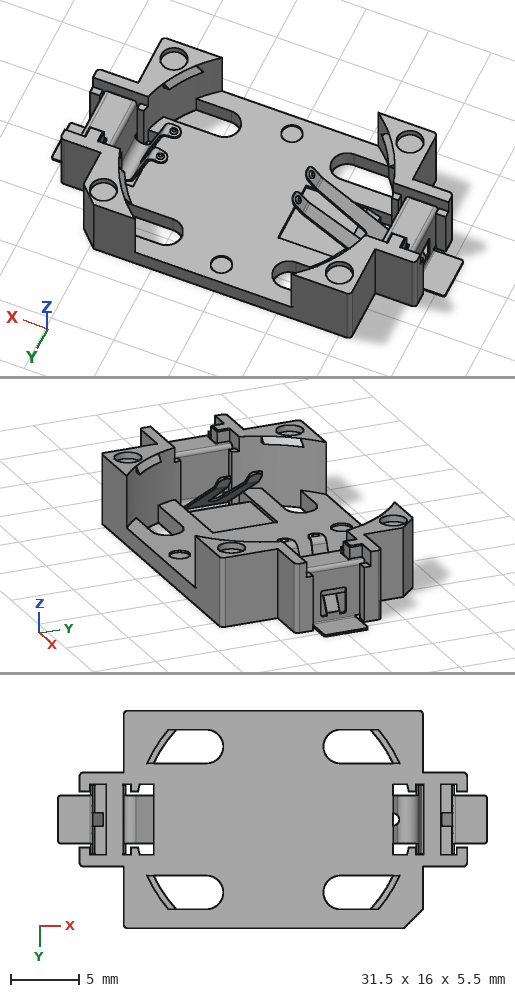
import cadquery as cq
import math

HEIGHT = 5.5
HOUSING_OFFSET = 0.05
EMBED = 0.15
BODY_HALF_LENGTH = 11.0
BODY_HALF_WIDTH = 8.0
ARM_END = 14.25
ARM_HALF_WIDTH = 3.45
CORNER_RADIUS = 0.3
KEYED_CORNER_CHAMFER = 1.42

FLOOR_TOP = 1.4
CELL_RADIUS = 10.15

LIP_OVERHANG = 0.45
LIP_HEIGHT = 0.47

FLOOR_SLOT_END = 3.7
FLOOR_SLOT_WIDTH = 2.45
FLOOR_SLOT_OFFSET = 5.35

CHANNEL_HALF_WIDTH = 2.58
CHANNEL_START = 8.8
GROOVE_INNER = 10.45
GROOVE_OUTER = 13.45
TAB_HALF_GAP = 2.05
TAB_TOP = 4.35

SPRING_RECESS_END = 2.85
SPRING_RECESS_SLOPE_START = 7.75
SPRING_RECESS_FLOOR = 1.13
SPRING_RECESS_SLOPE_FOOT = 0.7

MARK_X = 9.45
MARK_Y = 6.5
MARK_RADIUS = 1.0
MARK_DEPTH = 0.5
FLOOR_MARK_RADIUS = 0.8
FLOOR_MARK_DEPTH = 0.15

SHEET = 0.15
CONTACT_END = 15.75
CONTACT_OUTER = 13.35
CONTACT_INNER = 10.77
CONTACT_TOP = 4.55
SADDLE_HALF_WIDTH = 2.52
SPRING_HALF_WIDTH = 1.75
SADDLE_BEND = 0.235
FOOT_BEND = 0.15
FOOT_CORNER_RADIUS = 0.2

FINGER_GAP_HALF_WIDTH = 0.72
SLOT_ROOT_HALF_WIDTH = 0.45
BUMP_BASE_RADIUS = 0.38
BUMP_TOP_RADIUS = 0.13
BUMP_HEIGHT = 0.13

KEY_X = 12.1
KEY_LENGTH = 1.15
KEY_END_Y = 1.58
KEY_CHAMFER = 0.1
NOTCH_LENGTH = 1.35
NOTCH_END_Y = 1.45

WINDOW_HALF_WIDTH = 1.0
WINDOW_BOTTOM = 0.57
WINDOW_TOP = 2.6
WINDOW_CORNER_RADIUS = 0.2
TONGUE_HALF_WIDTH = 0.5
TONGUE_ROOT = 0.8
TONGUE_TOP = 2.15
TONGUE_TILT = 30.0
TONGUE_CHAMFER = 0.1

BAR_INNER = 11.02
BAR_OUTER = 13.1
BAR_EDGE_RADIUS = 0.2
CATCH_INNER = 12.3


def box(x_range, y_range, z_range):
    """Box spanning the given coordinate ranges."""
    (x0, x1), (y0, y1), (z0, z1) = x_range, y_range, z_range
    return cq.Workplane("XY").box(abs(x1 - x0), abs(y1 - y0), z1 - z0).translate(
        ((x0 + x1) / 2, (y0 + y1) / 2, (z0 + z1) / 2)
    )


def outer_block():
    body = cq.Workplane("XY").rect(2 * BODY_HALF_LENGTH, 2 * BODY_HALF_WIDTH).extrude(HEIGHT)
    body = body.edges("|Z and (<X or <Y)").fillet(CORNER_RADIUS)
    body = body.edges("|Z").edges(">(1,1,0)").chamfer(KEYED_CORNER_CHAMFER)
    arms = cq.Workplane("XY").rect(2 * ARM_END, 2 * ARM_HALF_WIDTH).extrude(HEIGHT)
    return body.union(arms.edges("|Z").fillet(CORNER_RADIUS))


def floor_slots():
    """Four round-ended slots through the floor, running outward to the cell wall."""
    slots = cq.Workplane("XY")
    length = 2 * (CELL_RADIUS - FLOOR_SLOT_END)
    for side in (-1, 1):
        for y in (-FLOOR_SLOT_OFFSET, FLOOR_SLOT_OFFSET):
            slot = cq.Workplane("XY").center(side * CELL_RADIUS, y).slot2D(length, FLOOR_SLOT_WIDTH)
            slots = slots.add(slot.extrude(HEIGHT))
    return slots.combine()


def lips(slots):
    """Wedge-shaped lips that hold the cell down, one above each floor slot."""
    wedge = [
        (CELL_RADIUS, HEIGHT),
        (CELL_RADIUS - LIP_OVERHANG, HEIGHT - LIP_HEIGHT),
        (CELL_RADIUS + EMBED, HEIGHT - LIP_HEIGHT),
        (CELL_RADIUS + EMBED, HEIGHT),
    ]
    ring = cq.Workplane("XZ").polyline(wedge).close().revolve(360, (0, 0, 0), (0, 1, 0))
    return ring.intersect(slots)


def contact_channel(side):
    """Slot between the arms, with a wider groove between two pairs of tabs."""
    full = (-CHANNEL_HALF_WIDTH, CHANNEL_HALF_WIDTH)
    gap = (-TAB_HALF_GAP, TAB_HALF_GAP)
    beyond = ARM_END + 0.3
    inside_cell = cq.Workplane("XY").circle(CELL_RADIUS).extrude(HEIGHT)
    cut = box((side * CHANNEL_START, side * GROOVE_INNER), full, (0, HEIGHT)).intersect(inside_cell)
    cut = cut.union(box((side * CHANNEL_START, side * beyond), gap, (0, HEIGHT)))
    cut = cut.union(box((side * GROOVE_INNER, side * GROOVE_OUTER), full, (0, HEIGHT)))
    return cut.union(box((side * CHANNEL_START, side * beyond), full, (TAB_TOP, HEIGHT)))


def spring_recess():
    """Shallow recess under the long spring, sloping down towards the channel."""
    outline = [
        (-SPRING_RECESS_END, SPRING_RECESS_FLOOR),
        (-SPRING_RECESS_SLOPE_START, SPRING_RECESS_FLOOR),
        (-CHANNEL_START, SPRING_RECESS_SLOPE_FOOT),
        (-CHANNEL_START, FLOOR_TOP),
        (-SPRING_RECESS_END, FLOOR_TOP),
    ]
    return cq.Workplane("XZ").polyline(outline).close().extrude(CHANNEL_HALF_WIDTH, both=True)


def marking_recesses():
    corners = [(x, y) for x in (-MARK_X, MARK_X) for y in (-MARK_Y, MARK_Y)]
    top = cq.Workplane("XY", origin=(0, 0, HEIGHT)).pushPoints(corners)
    low = cq.Workplane("XY", origin=(0, 0, FLOOR_TOP)).pushPoints([(0, -MARK_Y), (0, MARK_Y)])
    return top.circle(MARK_RADIUS).extrude(-MARK_DEPTH).union(
        low.circle(FLOOR_MARK_RADIUS).extrude(-FLOOR_MARK_DEPTH)
    )


def bar(side):
    """Crossbar filling the contact's saddle, undercut at the outside where the tongue catches."""
    full = (-CHANNEL_HALF_WIDTH, CHANNEL_HALF_WIDTH)
    block = box((side * BAR_INNER, side * BAR_OUTER), full, (0, CONTACT_TOP - SHEET))
    block = block.edges("|Y and >Z").fillet(BAR_EDGE_RADIUS)
    return block.cut(box((side * CATCH_INNER, side * BAR_OUTER), full, (0, TONGUE_TOP)))


def key(side):
    """Block on the +Y channel wall that drops into the notch of the contact."""
    half = KEY_LENGTH / 2
    block = box(
        (side * KEY_X - half, side * KEY_X + half),
        (KEY_END_Y, CHANNEL_HALF_WIDTH + EMBED),
        (CONTACT_TOP - SHEET, HEIGHT),
    )
    return block.faces(">Z").edges("|Y or <Y").chamfer(KEY_CHAMFER)


def make_housing():
    slots = floor_slots()
    cell = cq.Workplane("XY", origin=(0, 0, FLOOR_TOP)).circle(CELL_RADIUS).extrude(HEIGHT)
    through = slots.intersect(cq.Workplane("XY").circle(CELL_RADIUS).extrude(HEIGHT))
    body = outer_block().cut(cell).cut(through).union(lips(slots))
    for side in (-1, 1):
        body = body.cut(contact_channel(side)).union(bar(side)).union(key(side))
    body = body.cut(spring_recess()).cut(marking_recesses())
    return body.translate((HOUSING_OFFSET, 0, 0))


def bent_sheet(corners, bends, half_width):
    """Sheet of constant thickness along a path in XZ; bends are mid-sheet radii at inner corners."""
    headings = [math.atan2(b[1] - a[1], b[0] - a[0]) for a, b in zip(corners, corners[1:])]

    def offset_point(point, heading, offset):
        return (point[0] - offset * math.sin(heading), point[1] + offset * math.cos(heading))

    def side_path(offset):
        """One face of the sheet: its start, the (first, middle, last) arc points of each bend, its end."""
        stretches = []
        for corner, bend, h0, h1 in zip(corners[1:], bends, headings, headings[1:]):
            turn = math.remainder(h1 - h0, 2 * math.pi)
            setback = bend * math.tan(abs(turn) / 2)
            tangent = (corner[0] - setback * math.cos(h0), corner[1] - setback * math.sin(h0))
            toward = math.copysign(bend, turn)
            centre = offset_point(tangent, h0, toward)
            arc_headings = (h0, h0 + turn / 2, h0 + turn)
            stretches.append([offset_point(centre, h, offset - toward) for h in arc_headings])
        start = offset_point(corners[0], headings[0], offset)
        end = offset_point(corners[-1], headings[-1], offset)
        return start, stretches, end

    start, near, end = side_path(SHEET / 2)
    back_start, far, back_end = side_path(-SHEET / 2)
    outline = cq.Workplane("XZ").moveTo(*start)
    for tangent, middle, finish in near:
        outline = outline.lineTo(*tangent).threePointArc(middle, finish)
    outline = outline.lineTo(*end).lineTo(*back_end)
    for tangent, middle, finish in reversed(far):
        outline = outline.lineTo(*finish).threePointArc(middle, tangent)
    return outline.lineTo(*back_start).close().extrude(half_width, both=True)


def spring_plan(tip_x, bump_x, root_x):
    """Plan outline of foot and forked spring, as a tall prism, and the bump places."""
    tip_half_width = (SPRING_HALF_WIDTH - FINGER_GAP_HALF_WIDTH) / 2
    finger_y = SPRING_HALF_WIDTH - tip_half_width
    strip = box((bump_x, CONTACT_END), (-SPRING_HALF_WIDTH, SPRING_HALF_WIDTH), (0, HEIGHT))
    strip = strip.edges("|Z and >X").fillet(FOOT_CORNER_RADIUS)
    bump_places = [(bump_x, -finger_y), (bump_x, finger_y)]
    tips = cq.Workplane("XY").pushPoints(bump_places)
    tips = tips.ellipse(bump_x - tip_x, tip_half_width).extrude(HEIGHT)
    slot = (
        cq.Workplane("XY")
        .moveTo(bump_x, FINGER_GAP_HALF_WIDTH)
        .lineTo(root_x - SLOT_ROOT_HALF_WIDTH, SLOT_ROOT_HALF_WIDTH)
        .threePointArc((root_x, 0), (root_x - SLOT_ROOT_HALF_WIDTH, -SLOT_ROOT_HALF_WIDTH))
        .lineTo(bump_x, -FINGER_GAP_HALF_WIDTH)
        .close()
        .extrude(HEIGHT)
    )
    return strip.union(tips).cut(slot), bump_places


def contact_bump(x, y, z, slope):
    """Cone-shaped contact point standing on the upper face of a finger tip."""
    up = cq.Vector(-math.sin(slope), 0, math.cos(slope))
    base = cq.Vector(x, y, z)
    cone = cq.Solid.makeCone(BUMP_BASE_RADIUS, BUMP_TOP_RADIUS, SHEET / 2 + BUMP_HEIGHT, base, up)
    return cq.Workplane(obj=cone)


def locking_window():
    """Opening in the outer wall around the tongue; the tongue stays attached at its foot."""
    through = (CONTACT_OUTER - 2 * SHEET, CONTACT_OUTER + SHEET)
    opening = box(through, (-WINDOW_HALF_WIDTH, WINDOW_HALF_WIDTH), (WINDOW_BOTTOM, WINDOW_TOP))
    opening = opening.edges("|X").fillet(WINDOW_CORNER_RADIUS)
    root = box(through, (-TONGUE_HALF_WIDTH, TONGUE_HALF_WIDTH), (0, TONGUE_ROOT))
    return opening.cut(root)


def tongue():
    """Tongue leaning into the contact from the foot of the window."""
    rise = TONGUE_TOP - TONGUE_ROOT
    lean = rise * math.tan(math.radians(TONGUE_TILT))
    foot_z = TONGUE_ROOT - SHEET / 2
    outline = [
        (CONTACT_OUTER, foot_z),
        (CONTACT_OUTER - lean, TONGUE_TOP),
        (CONTACT_OUTER - lean - SHEET, TONGUE_TOP),
        (CONTACT_OUTER - SHEET, foot_z),
    ]
    leaf = cq.Workplane("XZ").polyline(outline).close().extrude(TONGUE_HALF_WIDTH, both=True)
    return leaf.faces(">Z").edges("|X").chamfer(TONGUE_CHAMFER)


def make_contact(wall_lean, spring_bend, ramp_angle, shoulder, shoulder_bend, tip, bump_x, root_x):
    """Contact on the +X side: foot, saddle over the crossbar and forked spring reaching inward.

    shoulder is the (x, z) where the ramp and the finger tips would meet; tip is their (x, z) end.
    """
    outer_x = CONTACT_OUTER - SHEET / 2
    inner_x = CONTACT_INNER + SHEET / 2
    plate_z = CONTACT_TOP - SHEET / 2
    foot_z = SHEET / 2
    ramp_rise = math.tan(math.radians(ramp_angle))
    wall_drift = math.tan(math.radians(wall_lean))
    ramp_start_x = (
        inner_x - wall_drift * (plate_z - shoulder[1] - shoulder[0] * ramp_rise)
    ) / (1 + wall_drift * ramp_rise)
    ramp_start_z = shoulder[1] - (ramp_start_x - shoulder[0]) * ramp_rise
    corners = [
        (CONTACT_END, foot_z),
        (outer_x, foot_z),
        (outer_x, plate_z),
        (inner_x, plate_z),
        (ramp_start_x, ramp_start_z),
        shoulder,
        tip,
    ]
    bends = [FOOT_BEND, SADDLE_BEND, SADDLE_BEND, spring_bend, shoulder_bend]

    plan, bump_places = spring_plan(tip[0], bump_x, root_x)
    narrow = bent_sheet(corners, bends, SPRING_HALF_WIDTH).intersect(plan)

    wall_turn = math.radians(90 + ramp_angle - wall_lean)
    wall_setback = spring_bend * math.tan(wall_turn / 2)
    wall_end_z = ramp_start_z + wall_setback * math.cos(math.radians(wall_lean))
    full = (-SADDLE_HALF_WIDTH, SADDLE_HALF_WIDTH)
    saddle_zone = box((KEY_X, CONTACT_OUTER), full, (FOOT_BEND + SHEET / 2, CONTACT_TOP)).union(
        box((GROOVE_INNER, KEY_X), full, (wall_end_z, CONTACT_TOP))
    )
    saddle = bent_sheet(corners, bends, SADDLE_HALF_WIDTH).intersect(saddle_zone)

    contact = saddle.union(narrow).cut(locking_window()).union(tongue())
    notch = box(
        (KEY_X - NOTCH_LENGTH / 2, KEY_X + NOTCH_LENGTH / 2),
        (NOTCH_END_Y, SADDLE_HALF_WIDTH),
        (CONTACT_TOP - SHEET, CONTACT_TOP),
    )
    contact = contact.cut(notch)

    tip_slope = math.atan2(shoulder[1] - tip[1], shoulder[0] - tip[0])
    bump_z = tip[1] + (bump_x - tip[0]) * math.tan(tip_slope)
    for x, y in bump_places:
        contact = contact.union(contact_bump(x, y, bump_z, tip_slope))
    return contact


housing = make_housing()
negative_contact = make_contact(
    wall_lean=0.0,
    spring_bend=0.5,
    ramp_angle=33.7,
    shoulder=(4.35, 4.22),
    shoulder_bend=0.8,
    tip=(3.4, 5.32),
    bump_x=3.75,
    root_x=8.73,
).mirror("YZ")
positive_contact = make_contact(
    wall_lean=4.0,
    spring_bend=0.72,
    ramp_angle=68.0,
    shoulder=(7.9, 4.35),
    shoulder_bend=0.5,
    tip=(6.7, 4.22),
    bump_x=7.25,
    root_x=9.3,
)

result = cq.Compound.makeCompound(
    [body.solids().val() for body in (housing, negative_contact, positive_contact)]
)